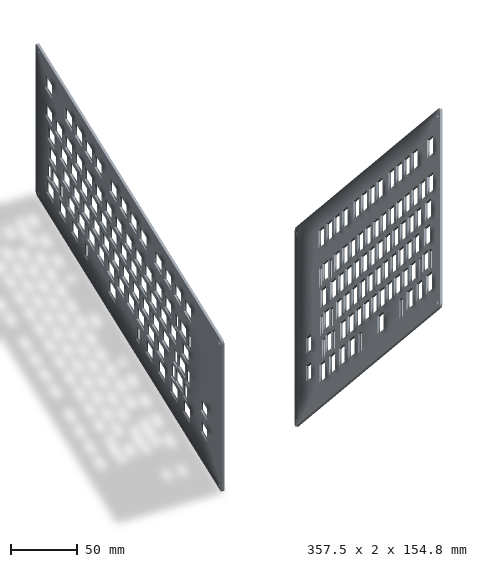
import cadquery as cq

plate_width = 357.5
plate_height = 154.8
plate_thickness = 2.0
corner_radius = 3.0

mount_hole_diameter = 3.4
mount_hole_inset = 5.0

block_width = 286.0
units_per_row = 15
key_unit = block_width / units_per_row
block_left = -163.7
switch_size = 14.0
number_row_z = 24.5

stabilizer_width = 7.0
stabilizer_height = 15.0
stabilizer_drop = 1.8
wide_key_reach = 11.8
space_bar_reach = 50.0
space_bar_units = 6.25
stabilized_units = 2

window_size = 12.0
window_x = 144.0
window_upper_z = -21.5
window_spacing = 21.8

key_rows = [
    (-1.5, [1, -1] + [1] * 4 + [-0.5] + [1] * 4 + [-0.5] + [1] * 4),
    (0, [1] * 13 + [2]),
    (1, [1.5] + [1] * 12 + [1.5]),
    (2, [1.75] + [1] * 11 + [2.25]),
    (3, [2.25] + [1] * 10 + [2.75]),
    (4, [1.25] * 3 + [space_bar_units] + [1.25] * 4),
]


def place_keys():
    """Return the switch centres and the stabilizer slot centres as (x, z) lists."""
    switches = []
    stabilizers = []
    for row_offset, widths in key_rows:
        row_z = number_row_z - row_offset * key_unit
        item_left = block_left
        for width in widths:
            item_width = abs(width) * key_unit
            key_x = item_left + item_width / 2
            item_left += item_width
            if width < 0:
                continue
            switches.append((key_x, row_z))
            if width >= stabilized_units:
                reach = space_bar_reach if width == space_bar_units else wide_key_reach
                slot_z = row_z - stabilizer_drop
                stabilizers += [(key_x - reach, slot_z), (key_x + reach, slot_z)]
    return switches, stabilizers


def rectangular_cutters(centres, width, height):
    """Boxes that pass through the whole plate at the given (x, z) centres."""
    return (
        cq.Workplane("XZ")
        .pushPoints(centres)
        .rect(width, height)
        .extrude(plate_thickness, both=True)
    )


plate = (
    cq.Workplane("XY")
    .box(plate_width, plate_thickness, plate_height)
    .edges("|Y")
    .fillet(corner_radius)
)

mount_holes = (
    cq.Workplane("XZ")
    .rect(
        plate_width - 2 * mount_hole_inset,
        plate_height - 2 * mount_hole_inset,
        forConstruction=True,
    )
    .vertices()
    .circle(mount_hole_diameter / 2)
    .extrude(plate_thickness, both=True)
)

switch_centres, stabilizer_centres = place_keys()
window_centres = [(window_x, window_upper_z), (window_x, window_upper_z - window_spacing)]

result = (
    plate
    .cut(mount_holes)
    .cut(rectangular_cutters(switch_centres, switch_size, switch_size))
    .cut(rectangular_cutters(stabilizer_centres, stabilizer_width, stabilizer_height))
    .cut(rectangular_cutters(window_centres, window_size, window_size))
)